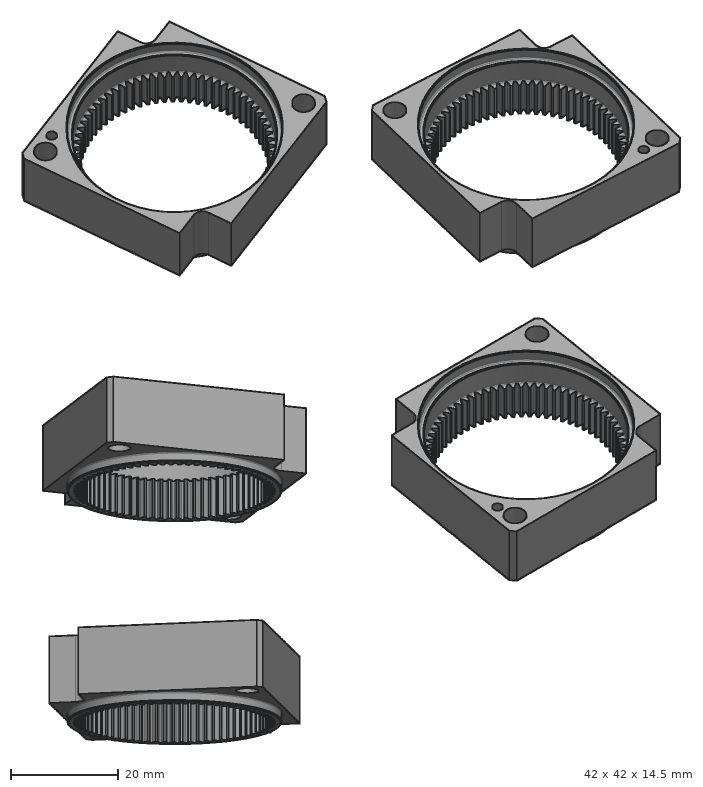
import cadquery as cq
import math

body_side = 42.0
body_height = 12.7
spigot_height = 1.8
corner_chamfer = 1.0
notch_side = 7.0
notch_fillet = 2.0

spigot_radius = 20.0
recess_clearance = 0.025
recess_depth = 2.2
clearance_bore_radius = 19.0
edge_break = 0.2

tooth_count = 72
gear_module = 0.5
pressure_angle = math.radians(20.0)
tip_radius = 17.62
flank_clearance = 0.05
flank_end_radius = 18.68
gear_shoulder_fillet = 0.17
gear_depth = 7.0

screw_hole_diameter = 4.3
screw_hole_offset = 17.5
pin_hole_diameter = 2.0
pin_hole_position = (-18.5, -13.65)

half_side = body_side / 2
recess_radius = spigot_radius + recess_clearance
pitch_radius = gear_module * tooth_count / 2
base_radius = pitch_radius * math.cos(pressure_angle)
flank_middle_radius = (tip_radius + flank_end_radius) / 2
gear_top = body_height - gear_depth
recess_floor = body_height - recess_depth


def make_body():
    """Square block with two chamfered and two notched opposite corners."""
    block = (
        cq.Workplane("XY")
        .rect(body_side, body_side)
        .extrude(body_height)
    )
    for side in (1, -1):
        corner = f"{'>' if side > 0 else '<'}(1, 1, 0)"
        block = block.edges("|Z").edges(corner).chamfer(corner_chamfer)
    notch_center = half_side - notch_side / 2
    for side in (1, -1):
        inner_edge = f"{'<' if side > 0 else '>'}(1, -1, 0)"
        notch = (
            cq.Workplane("XY")
            .center(side * notch_center, -side * notch_center)
            .rect(notch_side, notch_side)
            .extrude(body_height)
            .edges("|Z").edges(inner_edge).fillet(notch_fillet)
        )
        block = block.cut(notch)
    return block


def fillet_midpoint(center, radius, angle_degrees):
    """Middle point of a fillet arc, seen from its center along the given direction."""
    angle = math.radians(angle_degrees)
    return (center[0] + radius * math.cos(angle), center[1] + radius * math.sin(angle))


def revolve_about_axis(profile):
    """Revolve a closed (radius, z) profile about the Z axis."""
    return profile.close().revolve(360, (0, 0), (0, 1))


def make_spigot():
    """Locating spigot with a filleted root and a chamfered lower edge."""
    root_center = (spigot_radius + edge_break, -edge_break)
    profile = (
        cq.Workplane("XZ")
        .lineTo(spigot_radius + edge_break, 0)
        .threePointArc(fillet_midpoint(root_center, edge_break, 135), (spigot_radius, -edge_break))
        .lineTo(spigot_radius, edge_break - spigot_height)
        .lineTo(spigot_radius - edge_break, -spigot_height)
        .lineTo(0, -spigot_height)
    )
    return revolve_about_axis(profile)


def make_stepped_bore():
    """Locating recess and clearance bore above the gear teeth, filleted at both floors."""
    recess_center = (recess_radius - edge_break, recess_floor + edge_break)
    bore_center = (clearance_bore_radius - gear_shoulder_fillet, gear_top + gear_shoulder_fillet)
    profile = (
        cq.Workplane("XZ")
        .moveTo(0, body_height)
        .lineTo(recess_radius + edge_break, body_height)
        .lineTo(recess_radius, body_height - edge_break)
        .lineTo(recess_radius, recess_floor + edge_break)
        .threePointArc(
            fillet_midpoint(recess_center, edge_break, -45),
            (recess_radius - edge_break, recess_floor),
        )
        .lineTo(clearance_bore_radius + edge_break, recess_floor)
        .lineTo(clearance_bore_radius, recess_floor - edge_break)
        .lineTo(clearance_bore_radius, gear_top + gear_shoulder_fillet)
        .threePointArc(
            fillet_midpoint(bore_center, gear_shoulder_fillet, -45),
            (clearance_bore_radius - gear_shoulder_fillet, gear_top),
        )
        .lineTo(0, gear_top)
    )
    return revolve_about_axis(profile)


def involute(angle):
    """Involute function of a pressure angle in radians."""
    return math.tan(angle) - angle


def space_half_angle(radius):
    """Half the angle of the gap between two teeth at a given radius."""
    local_angle = math.acos(base_radius / radius)
    pitch_half_angle = math.pi / (2 * tooth_count) + flank_clearance / pitch_radius
    return pitch_half_angle + involute(pressure_angle) - involute(local_angle)


def polar(radius, angle):
    """Cartesian point at a radius and an angle from +X."""
    return (radius * math.cos(angle), radius * math.sin(angle))


def root_apex_radius():
    """Deepest radius of the root round that meets both flanks tangentially."""
    half_angle = space_half_angle(flank_end_radius)
    flank_slope = math.acos(base_radius / flank_end_radius) - half_angle
    end_x, end_y = polar(flank_end_radius, half_angle)
    round_radius = end_y / math.cos(flank_slope)
    return end_x + round_radius * (1 - math.sin(flank_slope))


def make_gear_bore():
    """Bore whose outline is the internal gear, with a tooth space on +X."""
    tip_half = space_half_angle(tip_radius)
    middle_half = space_half_angle(flank_middle_radius)
    end_half = space_half_angle(flank_end_radius)
    root_radius = root_apex_radius()
    tooth_pitch = 2 * math.pi / tooth_count
    outline = cq.Workplane("XY", origin=(0, 0, -spigot_height)).moveTo(*polar(tip_radius, -tip_half))
    for index in range(tooth_count):
        center = index * tooth_pitch
        flank_in_middle = polar(flank_middle_radius, center - middle_half)
        flank_in_end = polar(flank_end_radius, center - end_half)
        root_apex = polar(root_radius, center)
        flank_out_start = polar(flank_end_radius, center + end_half)
        flank_out_middle = polar(flank_middle_radius, center + middle_half)
        tip_start = polar(tip_radius, center + tip_half)
        tip_middle = polar(tip_radius, center + tooth_pitch / 2)
        tip_end = polar(tip_radius, center + tooth_pitch - tip_half)
        outline = (
            outline
            .threePointArc(flank_in_middle, flank_in_end)
            .threePointArc(root_apex, flank_out_start)
            .threePointArc(flank_out_middle, tip_start)
            .threePointArc(tip_middle, tip_end)
        )
    return outline.close().extrude(spigot_height + gear_top)


def make_through_holes():
    """Two screw holes on the chamfered corners and one pin hole."""
    screw_positions = [(side * screw_hole_offset, side * screw_hole_offset) for side in (1, -1)]
    screw_holes = (
        cq.Workplane("XY")
        .pushPoints(screw_positions)
        .circle(screw_hole_diameter / 2)
        .extrude(body_height)
    )
    pin_hole = (
        cq.Workplane("XY")
        .center(*pin_hole_position)
        .circle(pin_hole_diameter / 2)
        .extrude(body_height)
    )
    return screw_holes.union(pin_hole)


result = (
    make_body()
    .union(make_spigot())
    .cut(make_stepped_bore())
    .cut(make_gear_bore())
    .cut(make_through_holes())
)